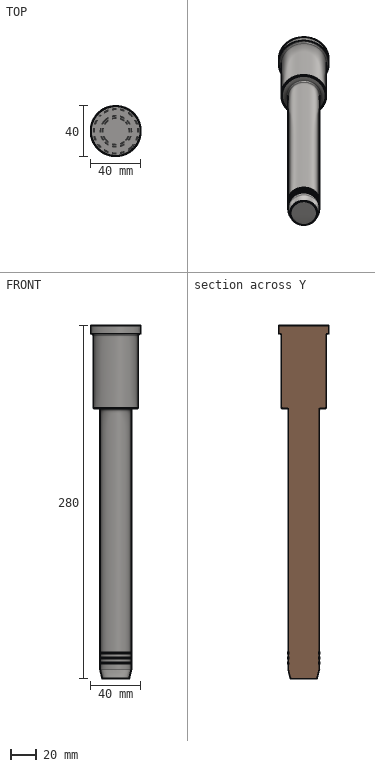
import cadquery as cq
import math

total_length = 280.0

head_diameter = 40.0
head_thickness = 6.8
head_chamfer = 0.4

collar_diameter = 36.0
collar_bottom_depth = 66.0
collar_chamfer = 0.8

shank_diameter = 25.0

root_fillet = 1.0

tip_length = 7.5
tip_half_angle = 13.5
tip_chamfer = 0.4
tip_slope = math.tan(math.radians(tip_half_angle))
tip_diameter = shank_diameter - 2 * tip_length * tip_slope

groove_count = 3
groove_pitch = 4.0
groove_width = 1.0
groove_depth = 0.5
lowest_groove_height = 12.45

head_bottom = total_length - head_thickness
collar_bottom = total_length - collar_bottom_depth


def make_body():
    """Head, collar, shank and tip, revolved from one half profile."""
    head_radius = head_diameter / 2
    collar_radius = collar_diameter / 2
    shank_radius = shank_diameter / 2
    tip_radius = tip_diameter / 2
    half_profile = (
        cq.Workplane("XZ")
        .lineTo(tip_radius - tip_chamfer, 0)
        .lineTo(tip_radius + tip_chamfer * tip_slope, tip_chamfer)
        .lineTo(shank_radius, tip_length)
        .lineTo(shank_radius, collar_bottom - root_fillet)
        .radiusArc((shank_radius + root_fillet, collar_bottom), root_fillet)
        .lineTo(collar_radius - collar_chamfer, collar_bottom)
        .lineTo(collar_radius, collar_bottom + collar_chamfer)
        .lineTo(collar_radius, head_bottom - root_fillet)
        .radiusArc((collar_radius + root_fillet, head_bottom), root_fillet)
        .lineTo(head_radius, head_bottom)
        .lineTo(head_radius, total_length - head_chamfer)
        .lineTo(head_radius - head_chamfer, total_length)
        .lineTo(0, total_length)
        .close()
    )
    return half_profile.revolve(360, (0, 0), (0, 1))


def make_groove_ring(center_height):
    """Ring of triangular section removed to form one groove."""
    shank_radius = shank_diameter / 2
    section = (
        cq.Workplane("XZ")
        .moveTo(shank_radius, center_height - groove_width / 2)
        .lineTo(shank_radius - groove_depth, center_height)
        .lineTo(shank_radius, center_height + groove_width / 2)
        .close()
    )
    return section.revolve(360, (0, 0), (0, 1))


result = make_body()
for index in range(groove_count):
    result = result.cut(make_groove_ring(lowest_groove_height + index * groove_pitch))